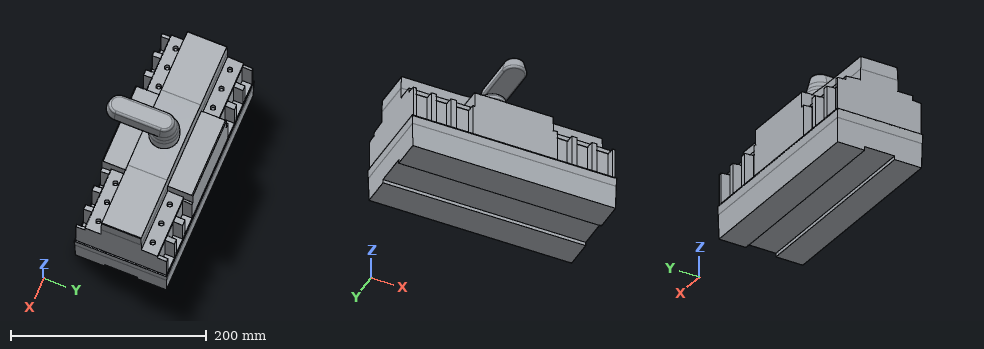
import cadquery as cq
import math

flange_length = 233.2
flange_width = 102.5
foot_height = 28.5
flange_top = 39.2
flange_draft = 2.0
foot_draft = 1.2
channel_width = 36.0
channel_height = 4.2

body_length = 230.2
body_width = 100.5
shelf_height = 82.5
back_shelf_drop = 1.5
shelf_half_width = 40.0
rib_inner_height = 77.5
rib_outer_height = 76.5

block_length = 89.5
block_top = 95.1
block_chamfer = 1.2

ridge_width = 44.8
ridge_top = 111.0
arch_top = 112.9
ridge_draft = 2.0
ridge_end_chamfer = 0.7

left_pockets = [(-111.5, -94.2), (-88.5, -72.0), (-65.5, -47.0)]
right_pockets = [(49.2, 65.8), (71.8, 88.5), (94.2, 112.2)]
pocket_floor = 39.6
pocket_undercut = 0.5

screw_diameter = 5.4
screw_depth = 7.0
screw_pitch = 22.6
screw_middle_x = 80.2
screw_y = 30.0

hub_radius = 15.9
hub_straight_top = 126.2
hub_shoulder_radius = 14.5
hub_shoulder_top = 130.8
hub_top = 136.2
lever_bottom = 133.5
lever_top = 148.0
lever_bottom_radius = 13.8
lever_reach = 50.0
lever_draft = 13.6
lever_top_fillet = 2.8
lever_bottom_fillet = 2.0


def box_between(x_range, y_range, z_range):
    """Axis-aligned box given by its limits along X, Y and Z."""
    corner = (x_range[0], y_range[0], z_range[0])
    size = (x_range[1] - x_range[0], y_range[1] - y_range[0], z_range[1] - z_range[0])
    return cq.Workplane("XY").box(*size, centered=False).translate(corner)


def make_base():
    flange_height = flange_top - foot_height
    flange_inset = flange_height * math.tan(math.radians(flange_draft))
    flange = (
        cq.Workplane("XY", origin=(0, 0, flange_top))
        .rect(flange_length, flange_width)
        .extrude(-flange_height, taper=flange_draft)
    )
    foot = (
        cq.Workplane("XY", origin=(0, 0, foot_height))
        .rect(flange_length - 2 * flange_inset, flange_width - 2 * flange_inset)
        .extrude(-foot_height, taper=foot_draft)
    )
    channel = cq.Workplane("XY").box(
        flange_length, channel_width, channel_height, centered=(True, True, False)
    )
    return flange.union(foot).cut(channel)


def make_body():
    half_body = body_width / 2
    half_ridge = ridge_width / 2
    section = [
        (-half_body, flange_top),
        (-half_body, rib_outer_height),
        (-shelf_half_width, rib_inner_height),
        (-shelf_half_width, shelf_height),
        (-half_ridge, shelf_height),
        (-half_ridge, block_top),
        (half_ridge, block_top),
        (half_ridge, shelf_height),
        (shelf_half_width, shelf_height - back_shelf_drop),
        (shelf_half_width, rib_inner_height),
        (half_body, rib_outer_height),
        (half_body, flange_top),
    ]
    return cq.Workplane("YZ").polyline(section).close().extrude(body_length / 2, both=True)


def make_center_block():
    block = box_between(
        (-block_length / 2, block_length / 2),
        (-body_width / 2, body_width / 2),
        (flange_top, block_top),
    )
    return block.faces(">Z").edges("|X").chamfer(block_chamfer)


def make_ridge():
    drafted_bar = (
        cq.Workplane("XY", origin=(0, 0, block_top))
        .rect(body_length, ridge_width)
        .extrude(arch_top - block_top, taper=ridge_draft)
    )
    half_arch = block_length / 2
    half_bottom = body_length / 2
    half_top = half_bottom - (ridge_top - block_top) * math.tan(math.radians(ridge_draft))
    chamfer_start = ridge_top - ridge_end_chamfer
    outline = (
        cq.Workplane("XZ")
        .moveTo(-half_bottom, block_top)
        .lineTo(-half_top, chamfer_start)
        .lineTo(-half_top + ridge_end_chamfer, ridge_top)
        .lineTo(-half_arch, ridge_top)
        .threePointArc((0, arch_top), (half_arch, ridge_top))
        .lineTo(half_top - ridge_end_chamfer, ridge_top)
        .lineTo(half_top, chamfer_start)
        .lineTo(half_bottom, block_top)
        .close()
        .extrude(ridge_width, both=True)
    )
    return drafted_bar.intersect(outline)


def make_pockets():
    """Terminal pockets; the rear row is the front row turned half a turn about Z."""
    front_row = cq.Workplane("XY")
    y_range = (-flange_width / 2, pocket_undercut - shelf_half_width)
    for x_range in left_pockets + right_pockets:
        pocket = box_between(x_range, y_range, (pocket_floor, rib_inner_height))
        front_row = front_row.add(pocket)
    front_row = front_row.combine()
    rear_row = front_row.rotate((0, 0, 0), (0, 0, 1), 180)
    return front_row.union(rear_row)


def make_screw_holes():
    centers = [
        (side * (screw_middle_x + step * screw_pitch), y)
        for side in (-1, 1)
        for step in (-1, 0, 1)
        for y in (-screw_y, screw_y)
    ]
    return (
        cq.Workplane("XY", origin=(0, 0, shelf_height))
        .pushPoints(centers)
        .circle(screw_diameter / 2)
        .extrude(-screw_depth)
    )


def make_hub():
    top_radius = lever_bottom_radius - (hub_top - lever_bottom) * math.tan(math.radians(lever_draft))
    return (
        cq.Workplane("XZ")
        .moveTo(0, ridge_top)
        .lineTo(hub_radius, ridge_top)
        .lineTo(hub_radius, hub_straight_top)
        .lineTo(hub_shoulder_radius, hub_shoulder_top)
        .lineTo(top_radius, hub_top)
        .lineTo(0, hub_top)
        .close()
        .revolve(360, (0, 0, 0), (0, 1, 0))
    )


def make_lever():
    lever = (
        cq.Workplane("XY", origin=(0, -lever_reach / 2, lever_bottom))
        .slot2D(lever_reach + 2 * lever_bottom_radius, 2 * lever_bottom_radius, 90)
        .extrude(lever_top - lever_bottom, taper=lever_draft)
    )
    lever = lever.faces(">Z").edges().fillet(lever_top_fillet)
    return lever.faces("<Z").edges().fillet(lever_bottom_fillet)


housing = make_base().union(make_body()).union(make_center_block()).union(make_ridge())
housing = housing.cut(make_pockets()).cut(make_screw_holes())
result = housing.union(make_hub()).union(make_lever())